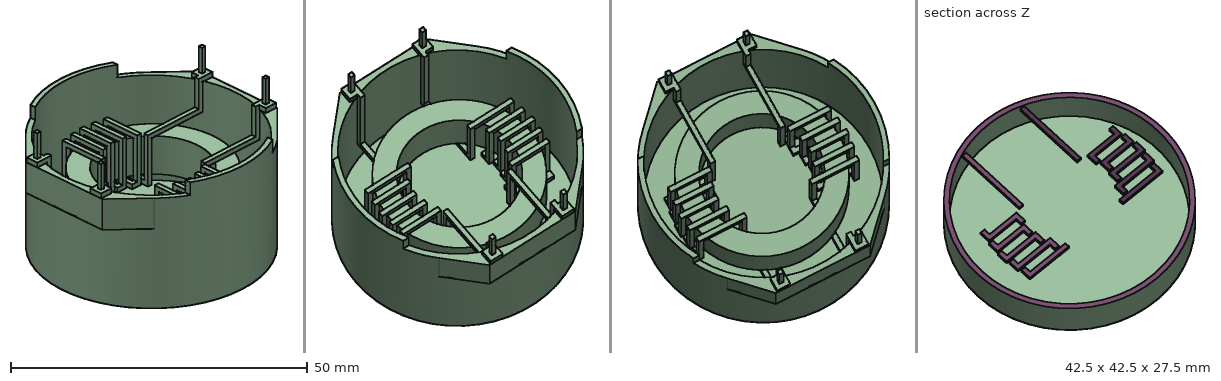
import cadquery as cq
import math

HOUSING_RADIUS = 21.25
WALL = 1.0
FLOOR = WALL
RIM_Z = 21.5
GUARD_Z = 24.02
GUARD_WIDTH = 20.0
LEDGE_HEIGHT = 6.0
LEDGE_CORNER_X = 9.0
LEDGE_ROOT = HOUSING_RADIUS * math.sqrt(0.5)
BORE_RADIUS = HOUSING_RADIUS - WALL

CORE_X = -0.1
CORE_Y = 0.43
CORE_OUTER_RADIUS = 14.7
CORE_INNER_RADIUS = 10.65
CORE_BOTTOM_Z = 7.55
CORE_TOP_Z = 15.0

PAD_SIZE = 2.5
PAD_TOP_Z = 22.5
PIN_SIZE = 0.8
PIN_TOP_Z = 27.5
PIN_X = 7.5
PIN_Y = HOUSING_RADIUS - PAD_SIZE / 2

WIRE = 0.95
COIL_BOTTOM_Z = CORE_BOTTOM_Z - WIRE / 2
COIL_TOP_Z = 16.15
TURN_PITCH = 2.5
FIRST_TURN_Y = 4.8
OUTER_UPRIGHTS = [14.92, 15.3, 15.6, 15.3, 14.9]
INNER_UPRIGHTS = [7.9, 8.95, 9.3, 8.67]
LEAD_X = PIN_X - PAD_SIZE / 2 + WIRE / 2
LEG_Y = 18.35
LEAD_TOP_Z = PAD_TOP_Z - WIRE / 2


def make_housing():
    """Cup with a flat floor, two pin ledges and two raised guard walls."""
    cup = cq.Workplane("XY").circle(HOUSING_RADIUS).extrude(GUARD_Z)
    lowered_ends = (
        cq.Workplane("XY").workplane(offset=RIM_Z)
        .pushPoints([(0, HOUSING_RADIUS), (0, -HOUSING_RADIUS)])
        .rect(2 * HOUSING_RADIUS, 2 * HOUSING_RADIUS - GUARD_WIDTH)
        .extrude(GUARD_Z - RIM_Z)
    )
    cup = cup.cut(lowered_ends)

    for end in (1, -1):
        ledge = (
            cq.Workplane("XY").workplane(offset=RIM_Z - LEDGE_HEIGHT)
            .polyline([
                (-LEDGE_ROOT, end * LEDGE_ROOT),
                (-LEDGE_CORNER_X, end * HOUSING_RADIUS),
                (LEDGE_CORNER_X, end * HOUSING_RADIUS),
                (LEDGE_ROOT, end * LEDGE_ROOT),
            ])
            .close().extrude(LEDGE_HEIGHT)
        )
        cup = cup.union(ledge)

    bore = cq.Workplane("XY").workplane(offset=FLOOR).circle(BORE_RADIUS).extrude(GUARD_Z)
    return cup.cut(bore)


def make_core():
    """Plain ring of rectangular section."""
    return (
        cq.Workplane("XY").workplane(offset=CORE_BOTTOM_Z)
        .center(CORE_X, CORE_Y)
        .circle(CORE_OUTER_RADIUS).circle(CORE_INNER_RADIUS)
        .extrude(CORE_TOP_Z - CORE_BOTTOM_Z)
    )


def make_wire(points):
    """Square wire with square corners along an axis-parallel path."""
    wire = None
    for start, end in zip(points, points[1:]):
        lengths = [abs(b - a) + WIRE for a, b in zip(start, end)]
        middle = tuple((a + b) / 2 for a, b in zip(start, end))
        stretch = cq.Workplane("XY").box(*lengths).translate(middle)
        wire = stretch if wire is None else wire.union(stretch)
    return wire


def make_terminal(x, y):
    """Square pad on the ledge with its pin standing on it."""
    pad = cq.Workplane("XY").box(PAD_SIZE, PAD_SIZE, PAD_TOP_Z - RIM_Z, centered=(True, True, False))
    pin = cq.Workplane("XY").box(PIN_SIZE, PIN_SIZE, PIN_TOP_Z - RIM_Z, centered=(True, True, False))
    return pad.union(pin).translate((x, y, RIM_Z))


def winding_path(side):
    """Centre line from the +Y terminal, round the core and on to the -Y terminal."""
    lead_x = side * LEAD_X
    inner_xs = [CORE_X + side * distance for distance in INNER_UPRIGHTS] + [lead_x]
    outer_xs = [CORE_X + side * distance for distance in OUTER_UPRIGHTS]
    first_bottom_y = FIRST_TURN_Y + TURN_PITCH / 2

    path = [
        (lead_x, PIN_Y, LEAD_TOP_Z),
        (lead_x, LEG_Y, LEAD_TOP_Z),
        (lead_x, LEG_Y, COIL_TOP_Z),
        (lead_x, first_bottom_y, COIL_TOP_Z),
        (lead_x, first_bottom_y, COIL_BOTTOM_Z),
    ]
    for turn, (outer_x, inner_x) in enumerate(zip(outer_xs, inner_xs)):
        bottom_y = first_bottom_y - turn * TURN_PITCH
        top_y = bottom_y - TURN_PITCH / 2
        path += [
            (outer_x, bottom_y, COIL_BOTTOM_Z),
            (outer_x, top_y, COIL_BOTTOM_Z),
            (outer_x, top_y, COIL_TOP_Z),
            (inner_x, top_y, COIL_TOP_Z),
            (inner_x, top_y, COIL_BOTTOM_Z),
            (inner_x, top_y - TURN_PITCH / 2, COIL_BOTTOM_Z),
        ]
    path[-1] = (lead_x, -LEG_Y, COIL_BOTTOM_Z)
    path += [
        (lead_x, -LEG_Y, LEAD_TOP_Z),
        (lead_x, -PIN_Y, LEAD_TOP_Z),
    ]
    return path


def make_winding(side):
    """One coil with its two leads and terminals; side is -1 for -X and 1 for +X."""
    winding = make_wire(winding_path(side))
    for end in (1, -1):
        winding = winding.union(make_terminal(side * PIN_X, end * PIN_Y))
    return winding


housing = make_housing()
core = make_core()
windings = [make_winding(side) for side in (-1, 1)]

result = cq.Compound.makeCompound([
    housing.solids().val(),
    core.val(),
    *[winding.solids().val() for winding in windings],
])